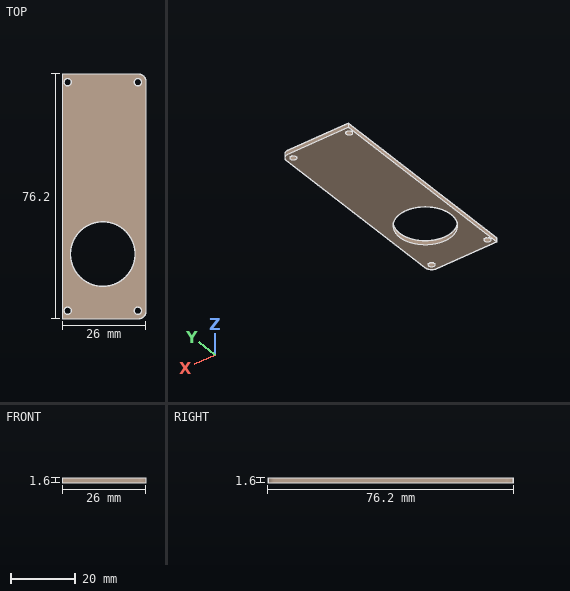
import cadquery as cq

plate_width = 26.04
plate_length = 76.2
plate_thickness = 1.6
corner_radius = 2.5

mount_hole_diameter = 2.2
mount_hole_inset = 2.6
mount_hole_spacing_x = 21.8
mount_hole_right_x = plate_width - mount_hole_inset
mount_hole_left_x = mount_hole_right_x - mount_hole_spacing_x

opening_diameter = 20.0
opening_x = (mount_hole_left_x + mount_hole_right_x) / 2
opening_y = 20.2


def make_plate():
    """Flat plate with its front left corner at the origin and its right corners rounded."""
    plate = cq.Workplane("XY").box(plate_width, plate_length, plate_thickness, centered=False)
    return plate.edges("|Z and >X").fillet(corner_radius)


def through_hole(diameter, x, y):
    """Cylinder that cuts a hole through the whole plate at (x, y)."""
    return cq.Workplane("XY").center(x, y).circle(diameter / 2).extrude(plate_thickness)


def cut_mounting_holes(plate):
    """One hole near each of the four corners."""
    for x in (mount_hole_left_x, mount_hole_right_x):
        for y in (mount_hole_inset, plate_length - mount_hole_inset):
            plate = plate.cut(through_hole(mount_hole_diameter, x, y))
    return plate


def cut_opening(plate):
    """Large round opening towards the front end."""
    return plate.cut(through_hole(opening_diameter, opening_x, opening_y))


result = cut_opening(cut_mounting_holes(make_plate()))